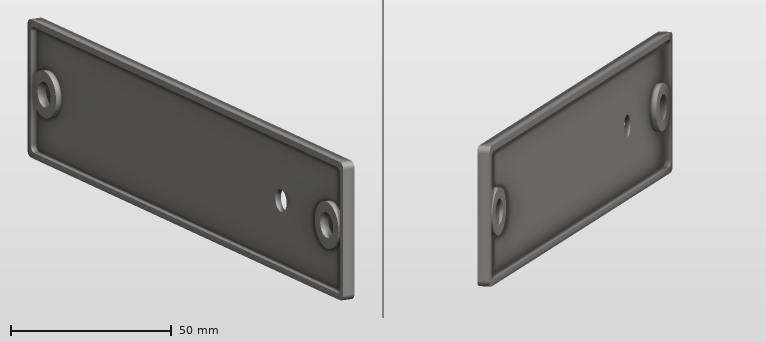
import cadquery as cq

length = 199.6
thickness = 4.0
height = 44.5
corner_radius = 2.0

rim_width = 2.0
recess_depth = 2.0
recess_corner_radius = 2.0

boss_diameter = 15.0
boss_height = 2.0
boss_hole_diameter = 8.2
boss_hole_depth = 3.0
boss_spacing = 178.6

hole_diameter = 7.2
hole_x = 56.9

front_y = -thickness / 2
floor_y = front_y + recess_depth
boss_top_y = floor_y - boss_height
boss_root_y = thickness / 2


def rounded_block(size_x, size_z, radius, start_y, depth):
    """Block with rounded corners, reaching from start_y toward +Y."""
    block = cq.Workplane("XY").box(size_x, depth, size_z)
    return block.edges("|Y").fillet(radius).translate((0, start_y + depth / 2, 0))


def cylinder(x, diameter, start_y, depth):
    """Cylinder along Y at mid height, reaching from start_y toward +Y."""
    return cq.Workplane(
        cq.Solid.makeCylinder(diameter / 2, depth, cq.Vector(x, start_y, 0), cq.Vector(0, 1, 0))
    )


plate = rounded_block(length, height, corner_radius, front_y, thickness)
recess = rounded_block(
    length - 2 * rim_width, height - 2 * rim_width, recess_corner_radius, front_y, recess_depth
)
result = plate.cut(recess)

for boss_x in (-boss_spacing / 2, boss_spacing / 2):
    result = result.union(cylinder(boss_x, boss_diameter, boss_top_y, boss_root_y - boss_top_y))
    result = result.cut(cylinder(boss_x, boss_hole_diameter, boss_top_y, boss_hole_depth))

result = result.cut(cylinder(hole_x, hole_diameter, front_y, thickness))